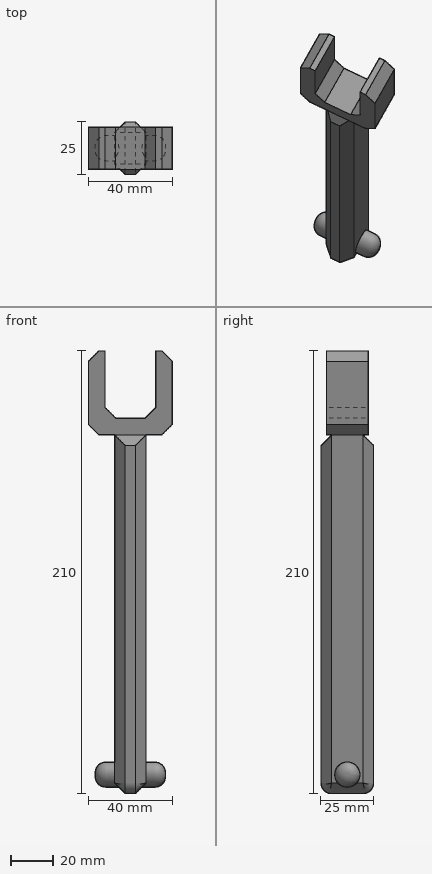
import cadquery as cq

total_height = 210.0
edge_cut = 5.0

fork_size = 40.0
fork_thickness = 20.0
wall = 8.0

blade_width = 15.0
blade_depth = 25.0
blade_height = total_height - fork_size

pin_diameter = 12.0
pin_length = 33.4
pin_end_radius = 5.0
pin_height = 9.0


def make_fork():
    """U-shaped fork with bevelled outer and inner corners."""
    half_width = fork_size / 2
    half_slot = half_width - wall
    bottom = blade_height
    slot_bottom = bottom + wall
    right_half = [
        (0, bottom),
        (half_width - edge_cut, bottom),
        (half_width, bottom + edge_cut),
        (half_width, total_height - edge_cut),
        (half_width - edge_cut, total_height),
        (half_slot, total_height),
        (half_slot, slot_bottom + edge_cut),
        (half_slot - edge_cut, slot_bottom),
        (0, slot_bottom),
    ]
    half = cq.Workplane("XZ").polyline(right_half).close().extrude(fork_thickness / 2, both=True)
    return half.union(half.mirror("YZ"))


def make_bar():
    """Eight-sided bar standing on top of the foot."""
    return (
        cq.Workplane("XY")
        .workplane(offset=edge_cut)
        .rect(blade_width, blade_depth)
        .extrude(blade_height - edge_cut)
        .edges("|Z")
        .chamfer(edge_cut)
    )


def make_foot():
    """Bevelled foot: a straight tapered bar that turns up around a cone at each end."""
    half_width = blade_width / 2
    half_flat = half_width - edge_cut
    corner_y = blade_depth / 2 - edge_cut
    taper = [
        (-half_width, 0),
        (half_width, 0),
        (half_flat, -edge_cut),
        (-half_flat, -edge_cut),
    ]
    foot = (
        cq.Workplane("XZ", origin=(0, 0, edge_cut))
        .polyline(taper)
        .close()
        .extrude(corner_y, both=True)
    )
    for y in (-corner_y, corner_y):
        cone_pair = (
            cq.Workplane("XZ", origin=(0, y, edge_cut))
            .polyline(taper)
            .close()
            .revolve(360, (0, 0), (1, 0))
        )
        foot = foot.union(cone_pair)
    return foot


def make_blade():
    """Bar and foot, with sloped shoulders cut under the fork."""
    half_depth = blade_depth / 2
    shoulder_outline = [
        (-half_depth, 0),
        (half_depth, 0),
        (half_depth, blade_height - edge_cut),
        (half_depth - edge_cut, blade_height),
        (edge_cut - half_depth, blade_height),
        (-half_depth, blade_height - edge_cut),
    ]
    envelope = cq.Workplane("YZ").polyline(shoulder_outline).close().extrude(blade_width / 2, both=True)
    return make_bar().intersect(envelope).union(make_foot())


def make_pin():
    """Round pin along X with domed ends."""
    return (
        cq.Workplane("YZ")
        .center(0, pin_height)
        .circle(pin_diameter / 2)
        .extrude(pin_length / 2, both=True)
        .faces("<X or >X")
        .edges()
        .fillet(pin_end_radius)
    )


result = make_blade().union(make_fork()).union(make_pin())